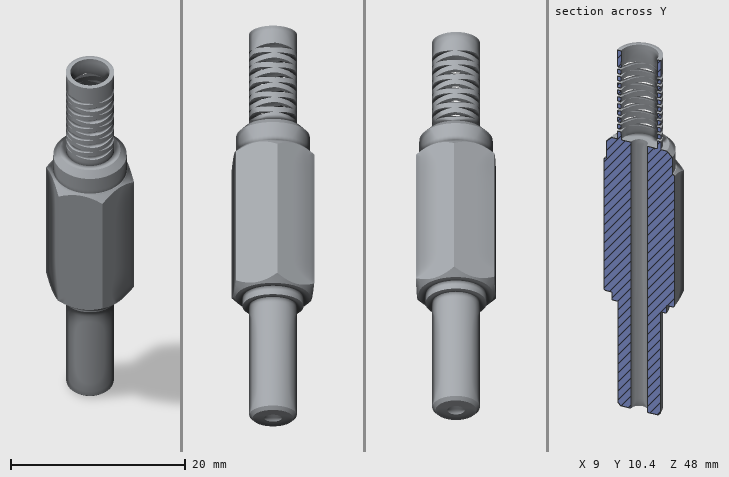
import cadquery as cq
import math

total_height = 48.0
collar_bottom = 14.0
hex_bottom = 15.05
hex_top = 33.0
shoulder_top = 36.0

pin_radius = 2.75
sleeve_radius = 2.8
tip_chamfer = 0.4
collar_radius = 3.5
neck_radius = 4.2
neck_chamfer = 0.7

hex_flats = 9.0
hex_turn = 30.0
hex_end_radius = 4.3

sleeve_bore_radius = 2.25
wire_hole_radius = 1.0

slot_rows = 10
slots_per_row = 3
slot_span = 8.35
slot_pitch = slot_span / (slot_rows - 1)
top_slot_drop = 2.45
slot_height = 0.6
slot_half_angle = 55.0
slot_cutter_start = 0.7
slot_cutter_end = sleeve_radius + 0.5


def cylinder(radius, bottom, top):
    """Cylinder on the Z axis between two heights."""
    return cq.Workplane("XY").workplane(offset=bottom).circle(radius).extrude(top - bottom)


def make_hex_grip():
    """Hexagonal prism with both ends turned to a 45 degree cone."""
    corner_radius = hex_flats / 2 / math.cos(math.pi / 6)
    cone_height = corner_radius - hex_end_radius
    prism = (
        cq.Workplane("XY")
        .workplane(offset=hex_bottom)
        .polygon(6, 2 * corner_radius)
        .extrude(hex_top - hex_bottom)
        .rotate((0, 0, 0), (0, 0, 1), hex_turn)
    )
    turned_blank = cylinder(corner_radius, hex_bottom, hex_top).edges("%CIRCLE").chamfer(cone_height)
    return prism.intersect(turned_blank)


def slot_section(distance):
    """Rhombus outline at a distance from the axis; it grows in proportion to that distance."""
    half_width = distance * math.tan(math.radians(slot_half_angle))
    half_height = slot_height / 2 * distance / sleeve_radius
    corners = [(half_width, 0), (0, half_height), (-half_width, 0), (0, -half_height)]
    outline = cq.Workplane("XZ").workplane(offset=distance).polyline(corners).close()
    return outline.val()


def make_slot(height, direction):
    """Diamond-shaped cutter that spreads out from the axis, turned by a direction in degrees from -Y."""
    cutter = cq.Solid.makeLoft([slot_section(slot_cutter_start), slot_section(slot_cutter_end)], ruled=True)
    return cq.Workplane(cutter).translate((0, 0, height)).rotate((0, 0, 0), (0, 0, 1), direction)


def make_sleeve():
    """Thin tube with rows of slots, each row turned half a step from the one above."""
    sleeve = cylinder(sleeve_radius, shoulder_top, total_height)
    sleeve = sleeve.cut(cylinder(sleeve_bore_radius, shoulder_top, total_height))
    step_angle = 360 / slots_per_row
    for row in range(slot_rows):
        height = total_height - top_slot_drop - row * slot_pitch
        row_turn = (row % 2) * step_angle / 2
        for slot in range(slots_per_row):
            sleeve = sleeve.cut(make_slot(height, row_turn + slot * step_angle))
    return sleeve


pin = cylinder(pin_radius, 0, collar_bottom).faces("<Z").chamfer(tip_chamfer)
collar = cylinder(collar_radius, collar_bottom, hex_bottom)
neck = cylinder(neck_radius, hex_top, shoulder_top).faces(">Z").chamfer(neck_chamfer)

result = pin.union(collar).union(make_hex_grip()).union(neck).union(make_sleeve())
result = result.cut(cylinder(wire_hole_radius, 0, total_height))